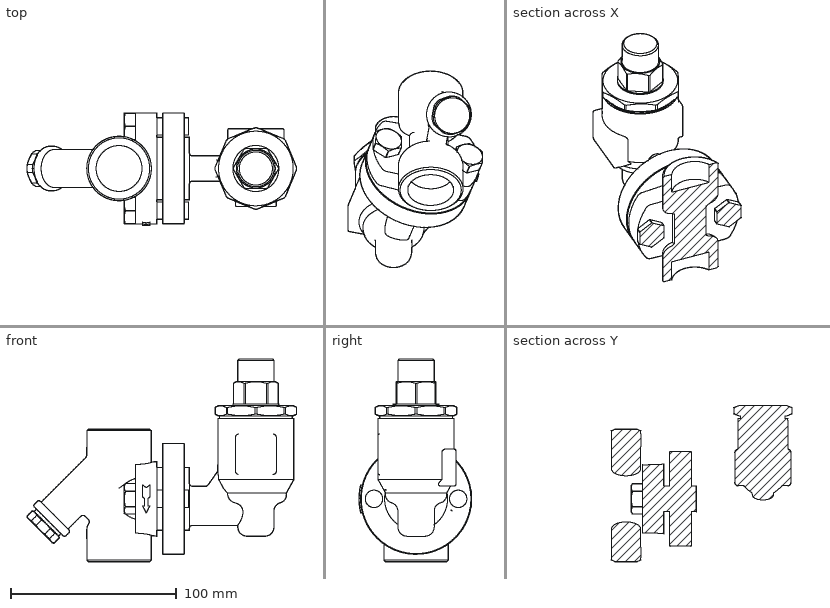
import cadquery as cq
import math


body_dia = 39.0
body_top = 42.1
body_bottom = -38.0
body_shoulder = 18.6
waist_dia = 21.0
waist_half_height = 6.4
end_chamfer = 1.0
port_dia = 27.7
port_depth = 13.5

arm_angle = 45.0
arm_axis_height = 28.8
arm_dia = 23.0
arm_end = 55.0
arm_blend = 3.0
strut_position = 36.3
strut_dia = 12.0
strut_length = 24.0
strut_blend = 2.0
collar_dia = 27.0
collar_end = 60.0
collar_round = 1.2
plug_neck_dia = 21.0
plug_head_start = 62.0
plug_end = 67.6
plug_flats = 22.0
plug_corner_dia = 23.2

head_chamfer_angle = 30.0
head_chamfer_overlap = 0.01

plate_start = 9.9
plate_end = 22.9
flange_start = 26.1
flange_end = 39.5
flange_dia = 67.0
flange_chamfer = 0.4
spigot_dia = 38.0
spigot_end = 42.5
plate_peak_start = 21.1
plate_peak_end = 22.6
plate_eave_y = 26.3
plate_eave_height = 20.4
plate_corner_round = 4.0
bolt_offset = 25.4
bolt_dia = 10.5
bolt_end = 42.0
bolt_head_start = 3.1
bolt_flats = 16.2
bolt_corner_dia = 18.5

arrow_half_length = 8.5
arrow_half_width = 2.15
arrow_shaft_half_width = 0.95
arrow_notch = 1.8
arrow_tail_end = 1.2
arrow_shaft_top = 0.1
arrow_head_base = -4.3
arrow_height = 1.0

tube_radius = 7.7
tube_upper_center = 0.0
tube_lower_center = -8.4
tube_flare = 1.7
slant_dia = 10.5
slant_angle = 55.0
slant_base_x = 54.2
slant_length = 30.0
slant_blend = 1.5

trap_x = 82.55
trap_dia = 46.0
trap_top = 48.5
trap_cone_top = 11.7
trap_ring_dia = 37.0
trap_ring_top = 3.5
trap_ring_bottom = 2.5
knob_dia = 22.0
knob_top = -7.3
knob_bottom = -22.6
knob_round = 5.6
groove_dia = 44.0
cap_start = 49.9
cap_end = 56.4
cap_flats = 46.0
cap_corner_dia = 49.3
washer_dia = 27.8
washer_end = 57.2
nut_end = 70.8
nut_flats = 24.0
nut_corner_dia = 27.2
inlet_dia = 22.0
inlet_top = 84.5

front_pad_width = 24.8
front_pad_center = 26.9
front_pad_height = 24.4
front_pad_reach = 23.05
pad_round = 1.0
pad_corner = 2.2
pad_blend = 1.5
back_pad_width = 34.0
back_pad_bottom = 7.8
back_pad_top = 30.0
back_pad_reach = 24.1

SIDES = (-1, 1)
HEXAGON = 6
OCTAGON = 8
TOLERANCE = 0.01
SEAM_PROBE = 0.4


def x_cylinder(diameter, start, end, y=0.0):
    """Cylinder along X between two X positions."""
    return cq.Workplane("YZ", origin=(start, y, 0)).circle(diameter / 2).extrude(end - start)


def z_cylinder(diameter, bottom, top):
    """Cylinder on the Z axis between two heights."""
    return cq.Workplane("XY", origin=(0, 0, bottom)).circle(diameter / 2).extrude(top - bottom)


def blended_union(first, second, radius):
    """Join two solids and round the seam where their surfaces meet."""
    first_shell = first.val().Shells()[0]
    second_shell = second.val().Shells()[0]

    def is_seam(edge):
        point = cq.Vertex.makeVertex(*edge.positionAt(SEAM_PROBE).toTuple())
        return max(point.distance(first_shell), point.distance(second_shell)) < TOLERANCE

    return first.union(second).edges().filter(is_seam).fillet(radius)


def wrench_head(sides, flats, corner_dia, bottom, top, chamfered_ends="<Z or >Z"):
    """Prism with a corner toward +X, its corners turned to corner_dia and its ends chamfered."""
    circumscribed = flats / math.cos(math.pi / sides)
    prism = (
        cq.Workplane("XY", origin=(0, 0, bottom))
        .polygon(sides, circumscribed)
        .extrude(top - bottom)
    )
    chamfer_run = (corner_dia - flats) / 2 + head_chamfer_overlap * flats
    chamfer_rise = chamfer_run * math.tan(math.radians(head_chamfer_angle))
    turned = z_cylinder(corner_dia, bottom, top).faces(chamfered_ends)
    turned = turned.edges().chamfer(chamfer_rise, chamfer_run)
    return prism.intersect(turned)


def s_curve(profile, r_start, z_start, r_end, z_end):
    """Add two equal tangent arcs that leave and arrive parallel to the axis."""
    run = r_end - r_start
    rise = z_end - z_start
    turn = 2 * math.atan2(abs(run), abs(rise))
    radius = abs(rise) / (2 * math.sin(turn))
    bulge_r = math.copysign(radius * (1 - math.cos(turn / 2)), run)
    bulge_z = math.copysign(radius * math.sin(turn / 2), rise)
    middle = ((r_start + r_end) / 2, (z_start + z_end) / 2)
    return profile.threePointArc((r_start + bulge_r, z_start + bulge_z), middle).threePointArc(
        (r_end - bulge_r, z_end - bulge_z), (r_end, z_end)
    )


def make_valve_body():
    outer = body_dia / 2
    waist = waist_dia / 2
    profile = cq.Workplane("XZ").moveTo(0, body_bottom).lineTo(outer, body_bottom)
    profile = profile.lineTo(outer, -body_shoulder)
    profile = s_curve(profile, outer, -body_shoulder, waist, -waist_half_height)
    profile = profile.lineTo(waist, waist_half_height)
    profile = s_curve(profile, waist, waist_half_height, outer, body_shoulder)
    profile = profile.lineTo(outer, body_top).lineTo(0, body_top).close()
    body = profile.revolve(360, (0, 0, 0), (0, 1, 0))
    return body.faces("<Z or >Z").edges().chamfer(end_chamfer)


def cut_ports(solid):
    top_port = z_cylinder(port_dia, body_top - port_depth, body_top)
    bottom_port = z_cylinder(port_dia, body_bottom, body_bottom + port_depth)
    return solid.cut(top_port).cut(bottom_port)


def place_on_arm(solid):
    """Turn a solid built along +Z so that it lies on the arm axis."""
    turned = solid.rotate((0, 0, 0), (0, 1, 0), 180 + arm_angle)
    return turned.translate((0, 0, arm_axis_height))


def make_arm():
    return place_on_arm(z_cylinder(arm_dia, 0, arm_end))


def make_strut():
    """Round strut standing square to the arm and reaching into the lower half of the body."""
    outline = cq.Workplane("YZ", origin=(0, 0, strut_position))
    return place_on_arm(outline.circle(strut_dia / 2).extrude(-strut_length))


def make_strainer_body():
    body = blended_union(make_valve_body(), make_arm(), arm_blend)
    return blended_union(body, make_strut(), strut_blend)


def make_plug():
    collar = z_cylinder(collar_dia, arm_end, collar_end).edges().fillet(collar_round)
    neck = z_cylinder(plug_neck_dia, collar_end, plug_head_start)
    head = wrench_head(HEXAGON, plug_flats, plug_corner_dia, plug_head_start, plug_end)
    return place_on_arm(collar.union(neck).union(head))


def roof_outline(workplane, peak):
    """Outline mirrored about Z = 0, highest on the middle and falling away to both sides."""
    half_width = flange_dia
    eave = peak - half_width * (peak - plate_eave_height) / plate_eave_y
    points = [
        (0, peak),
        (half_width, eave),
        (half_width, -eave),
        (0, -peak),
        (-half_width, -eave),
        (-half_width, eave),
    ]
    return workplane.polyline(points).close()


def make_joint_plate():
    """Round plate cut by a roof above and below, with a neck back to the valve waist."""
    roof = roof_outline(cq.Workplane("YZ", origin=(plate_start, 0, 0)), plate_peak_start)
    roof = roof.workplane(offset=plate_end - plate_start)
    roof = roof_outline(roof, plate_peak_end).loft(ruled=True)
    plate = x_cylinder(flange_dia, plate_start, plate_end).intersect(roof)
    for side in SIDES:
        for end in SIDES:
            corner = cq.selectors.NearestToPointSelector(
                ((plate_start + plate_end) / 2, side * plate_eave_y, end * plate_eave_height)
            )
            plate = plate.edges(corner).fillet(plate_corner_round)
    neck = cq.Workplane("XY").box(
        plate_start, waist_dia, 2 * body_shoulder, centered=(False, True, True)
    )
    return plate.union(neck)


def make_arrow():
    """Arrow pointing down on the -Y side, rooted inside the plate and curved like its rim."""
    points = [
        (0, arrow_half_length - arrow_notch),
        (arrow_half_width, arrow_half_length),
        (arrow_half_width, arrow_tail_end),
        (arrow_shaft_half_width, arrow_shaft_top),
        (arrow_shaft_half_width, arrow_head_base),
        (arrow_half_width, arrow_head_base),
        (0, -arrow_half_length),
    ]
    mirrored = [(-x, z) for x, z in points[-2:0:-1]]
    middle_x = (plate_start + plate_end) / 2
    arrow_root = -flange_dia / 4
    outline = cq.Workplane("XZ", origin=(middle_x, arrow_root, 0)).polyline(points + mirrored).close()
    bar = outline.extrude(flange_dia / 2)
    return bar.intersect(x_cylinder(flange_dia + 2 * arrow_height, plate_start, plate_end))


def make_flange():
    flange = x_cylinder(flange_dia, flange_start, flange_end).edges().chamfer(flange_chamfer)
    return flange.union(x_cylinder(spigot_dia, plate_start, spigot_end))


def make_bolt(y):
    head_height = plate_start - bolt_head_start
    head = wrench_head(HEXAGON, bolt_flats, bolt_corner_dia, 0, head_height, ">Z")
    head = head.rotate((0, 0, 0), (0, 1, 0), -90).translate((plate_start, y, 0))
    return head.union(x_cylinder(bolt_dia, plate_start, bolt_end, y))


def make_connection():
    middle_z = (tube_upper_center + tube_lower_center) / 2
    straight = tube_upper_center - tube_lower_center
    outline = cq.Workplane("YZ", origin=(spigot_end, 0, middle_z))
    tube = outline.slot2D(straight + 2 * tube_radius, 2 * tube_radius, 90).extrude(trap_x - spigot_end)
    slant = (
        z_cylinder(slant_dia, 0, slant_length)
        .rotate((0, 0, 0), (0, 1, 0), 90 - slant_angle)
        .translate((slant_base_x, 0, tube_upper_center))
    )
    tubes = blended_union(tube, slant, slant_blend)
    return blended_union(x_cylinder(spigot_dia, flange_end, spigot_end), tubes, tube_flare)


def make_trap_shell():
    knob_radius = knob_dia / 2
    ring_radius = trap_ring_dia / 2
    round_middle = knob_round * (1 - math.sqrt(0.5))
    profile = (
        cq.Workplane("XZ")
        .moveTo(0, knob_bottom)
        .lineTo(knob_radius - knob_round, knob_bottom)
        .threePointArc(
            (knob_radius - round_middle, knob_bottom + round_middle),
            (knob_radius, knob_bottom + knob_round),
        )
        .lineTo(knob_radius, knob_top)
    )
    profile = s_curve(profile, knob_radius, knob_top, ring_radius, trap_ring_bottom)
    profile = (
        profile.lineTo(ring_radius, trap_ring_top)
        .lineTo(trap_dia / 2, trap_cone_top)
        .lineTo(trap_dia / 2, trap_top)
        .lineTo(0, trap_top)
        .close()
    )
    return profile.revolve(360, (0, 0, 0), (0, 1, 0))


def make_pad(width, bottom, top, reach):
    """Rounded pad from the trap axis out to the given reach along -Y."""
    pad = cq.Workplane("XY").box(width, reach, top - bottom, centered=(True, False, True))
    pad = pad.translate((0, -reach, (top + bottom) / 2))
    return pad.edges("|Y").fillet(pad_corner).faces("<Y").edges().fillet(pad_round)


def make_trap_top():
    groove = z_cylinder(groove_dia, trap_top, cap_start)
    cap = wrench_head(OCTAGON, cap_flats, cap_corner_dia, cap_start, cap_end)
    washer = z_cylinder(washer_dia, cap_end, washer_end)
    nut = wrench_head(HEXAGON, nut_flats, nut_corner_dia, washer_end, nut_end, ">Z")
    inlet = z_cylinder(inlet_dia, nut_end, inlet_top).faces(">Z").edges().chamfer(end_chamfer)
    return groove.union(cap).union(washer).union(nut).union(inlet)


def make_trap():
    half_height = front_pad_height / 2
    front_pad = make_pad(
        front_pad_width, front_pad_center - half_height, front_pad_center + half_height, front_pad_reach
    )
    back_pad = make_pad(back_pad_width, back_pad_bottom, back_pad_top, back_pad_reach)
    back_pad = back_pad.rotate((0, 0, 0), (0, 0, 1), 180)
    trap = blended_union(make_trap_shell(), front_pad, pad_blend)
    trap = trap.union(back_pad).union(make_trap_top())
    return trap.translate((trap_x, 0, 0))


result = make_strainer_body().union(make_plug())
result = result.union(make_joint_plate()).union(make_arrow()).union(make_flange())
for side in SIDES:
    result = result.union(make_bolt(side * bolt_offset))
result = result.union(make_connection()).union(make_trap())
result = cut_ports(result)